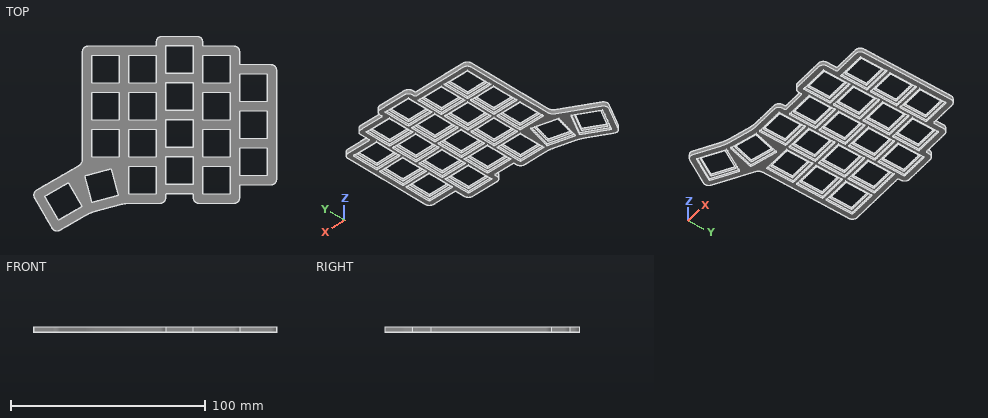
import cadquery as cq
import math


PITCH = 19.05
OPENING = 14.0
MARGIN = 5.0
THICKNESS = 2.8
CLIP_THICKNESS = 1.5
RELIEF = 17.0
EDGE = OPENING / 2 + MARGIN

MIDDLE_STAGGER = 5.0
OUTER_STAGGER = PITCH / 2

COLUMNS = [
    (-PITCH, PITCH, 3),
    (0, 0, 4),
    (PITCH, MIDDLE_STAGGER, 4),
    (2 * PITCH, 0, 4),
    (3 * PITCH, OUTER_STAGGER, 3),
]

THUMB_STEP = 15.0
THUMB_SPACING = 21.27
FAN_RADIUS = THUMB_SPACING / (2 * math.sin(math.radians(THUMB_STEP / 2)))
THUMB_ANGLES = [THUMB_STEP, 2 * THUMB_STEP]
ARM_ANGLE = THUMB_ANGLES[-1]

CORNER_RADIUS = 3.0
STEP_RADIUS = 0.5
ARM_BEND_RADIUS = 20.0
ARM_INNER_RADIUS = 4.0


def fan_point(angle, radius):
    """Point on the thumb fan, with the angle measured from straight up."""
    turn = math.radians(angle)
    return (-radius * math.sin(turn), radius * math.cos(turn) - FAN_RADIUS)


def arm_point(along, across):
    """Point in the frame of the outermost thumb key, which is turned by ARM_ANGLE."""
    turn = math.radians(ARM_ANGLE)
    x, y = fan_point(ARM_ANGLE, FAN_RADIUS)
    return (
        x + along * math.cos(turn) - across * math.sin(turn),
        y + along * math.sin(turn) + across * math.cos(turn),
    )


def bend_point(angle):
    """Where the lower edges of two neighbouring fanned keys meet."""
    inner = FAN_RADIUS - EDGE
    return fan_point(angle, inner / math.cos(math.radians(THUMB_STEP / 2)))


def outline_corners():
    """Outline points in counter-clockwise order, each with its rounding radius."""
    left = -PITCH - EDGE
    middle_left = PITCH - EDGE
    middle_right = PITCH + EDGE
    notch_left = EDGE
    notch_right = 2 * PITCH - EDGE
    step_right = 2 * PITCH + EDGE
    right = 3 * PITCH + EDGE
    bottom = -EDGE
    top = 3 * PITCH + EDGE
    middle_bottom = bottom + MIDDLE_STAGGER
    middle_top = top + MIDDLE_STAGGER
    outer_bottom = bottom + OUTER_STAGGER
    outer_top = OUTER_STAGGER + 2 * PITCH + EDGE

    arm_x, arm_y = arm_point(-EDGE, EDGE)
    arm_meets_left = (left, arm_y + (left - arm_x) * math.tan(math.radians(ARM_ANGLE)))

    return [
        (bend_point(THUMB_STEP / 2), ARM_BEND_RADIUS),
        ((notch_left, bottom), CORNER_RADIUS),
        ((notch_left, middle_bottom), STEP_RADIUS),
        ((notch_right, middle_bottom), STEP_RADIUS),
        ((notch_right, bottom), CORNER_RADIUS),
        ((step_right, bottom), CORNER_RADIUS),
        ((step_right, outer_bottom), STEP_RADIUS),
        ((right, outer_bottom), CORNER_RADIUS),
        ((right, outer_top), CORNER_RADIUS),
        ((step_right, outer_top), STEP_RADIUS),
        ((step_right, top), CORNER_RADIUS),
        ((middle_right, top), STEP_RADIUS),
        ((middle_right, middle_top), CORNER_RADIUS),
        ((middle_left, middle_top), CORNER_RADIUS),
        ((middle_left, top), STEP_RADIUS),
        ((left, top), CORNER_RADIUS),
        (arm_meets_left, ARM_INNER_RADIUS),
        ((arm_x, arm_y), CORNER_RADIUS),
        (arm_point(-EDGE, -EDGE), CORNER_RADIUS),
        (bend_point(THUMB_STEP * 3 / 2), ARM_BEND_RADIUS),
    ]


def make_plate():
    """Flat plate with its vertical outline edges rounded."""
    corners = outline_corners()
    plate = cq.Workplane("XY").polyline([point for point, _ in corners]).close().extrude(THICKNESS)
    for (x, y), radius in corners:
        corner_edge = cq.selectors.NearestToPointSelector((x, y, THICKNESS / 2))
        plate = plate.edges("|Z").edges(corner_edge).fillet(radius)
    return plate


def key_cutter(x, y, angle=0):
    """Square switch opening with a wider square relief on the underside."""
    opening = cq.Workplane("XY").rect(OPENING, OPENING).extrude(THICKNESS)
    relief = cq.Workplane("XY").rect(RELIEF, RELIEF).extrude(THICKNESS - CLIP_THICKNESS)
    return opening.union(relief).rotate((0, 0, 0), (0, 0, 1), angle).translate((x, y, 0))


def cut_finger_keys(plate):
    for x, lowest_y, count in COLUMNS:
        for row in range(count):
            plate = plate.cut(key_cutter(x, lowest_y + row * PITCH))
    return plate


def cut_thumb_keys(plate):
    for angle in THUMB_ANGLES:
        x, y = fan_point(angle, FAN_RADIUS)
        plate = plate.cut(key_cutter(x, y, angle))
    return plate


result = cut_thumb_keys(cut_finger_keys(make_plate()))